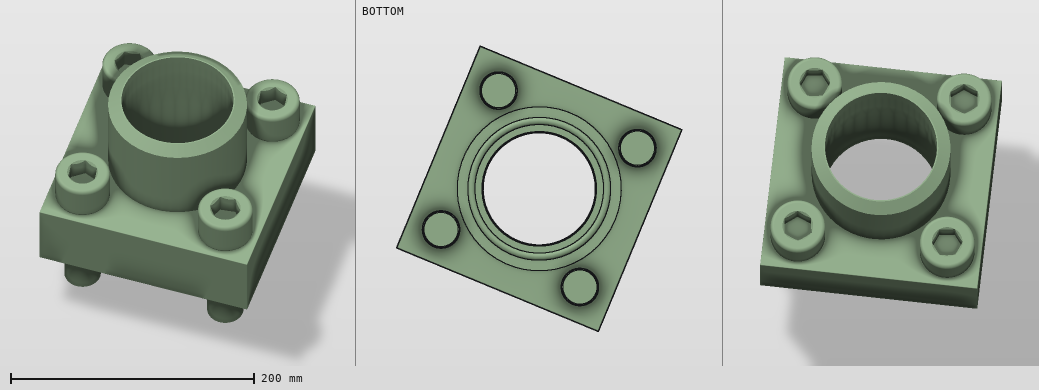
import cadquery as cq
import math

overall_width = 234.8
total_height = 175.0
assembly_turn = 22.5
plate_edge_radius = 0.5
plate_thickness = 57.8
raised_face_diameter = 135.0
raised_face_height = 1.9

pipe_diameter = 114.4
pipe_end_diameter = 94.5
bevel_slope = 30.0
bore_diameter = 92.3
bore_mouth_diameter = 94.5
bore_taper_start = 97.0
bore_taper_end = 17.0

ring_inner_diameter = 106.0
ring_outer_diameter = 117.7
ring_protrusion = 1.6

bolt_circle_diameter = 175.0
bolt_count = 4
first_bolt_angle = 45.0
bolt_hole_diameter = 31.0
shank_diameter = 30.0
shank_length = 99.8
shank_end_chamfer = 1.0
head_diameter = 45.0
head_height = 30.3
head_edge_radius = 3.0
socket_corner_diameter = 25.4
socket_depth = 16.5
socket_sides = 6

plate_top = raised_face_height + plate_thickness
pipe_top = total_height - shank_length + plate_top
bevel_height = (pipe_diameter - pipe_end_diameter) / 2 * math.tan(math.radians(bevel_slope))

turn_span = math.cos(math.radians(assembly_turn)) + math.sin(math.radians(assembly_turn))
plate_side = (overall_width + 2 * plate_edge_radius * (turn_span - 1)) / turn_span

ring_section_diameter = (ring_outer_diameter - ring_inner_diameter) / 2
ring_section_radius = ring_section_diameter / 2
ring_center_radius = (ring_outer_diameter + ring_inner_diameter) / 4
groove_depth = ring_section_diameter - ring_protrusion

socket_turn = -(assembly_turn + first_bolt_angle)


def bolt_place(index):
    """Location of one bolt on the plate top, turned to its angle around the bore axis."""
    angle = first_bolt_angle + index * 360.0 / bolt_count
    turn = cq.Location(cq.Vector(0, 0, 0), cq.Vector(0, 0, 1), angle)
    return turn * cq.Location(cq.Vector(bolt_circle_diameter / 2, 0, plate_top))


def make_plate():
    return (
        cq.Workplane("XY", origin=(0, 0, raised_face_height))
        .box(plate_side, plate_side, plate_thickness, centered=(True, True, False))
        .edges()
        .fillet(plate_edge_radius)
    )


def make_pipe():
    """Weld pipe and raised face as one turned shape, still without the bore."""
    return (
        cq.Workplane("XZ")
        .lineTo(raised_face_diameter / 2, 0)
        .lineTo(raised_face_diameter / 2, raised_face_height)
        .lineTo(pipe_diameter / 2, raised_face_height)
        .lineTo(pipe_diameter / 2, pipe_top - bevel_height)
        .lineTo(pipe_end_diameter / 2, pipe_top)
        .lineTo(0, pipe_top)
        .close()
        .revolve(360, (0, 0, 0), (0, 1, 0))
    )


def make_bore():
    """Straight bore that widens in a slight cone towards the sealing face."""
    return (
        cq.Workplane("XZ")
        .lineTo(0, pipe_top)
        .lineTo(bore_diameter / 2, pipe_top)
        .lineTo(bore_diameter / 2, bore_taper_start)
        .lineTo(bore_mouth_diameter / 2, bore_taper_end)
        .lineTo(bore_mouth_diameter / 2, 0)
        .close()
        .revolve(360, (0, 0, 0), (0, 1, 0))
    )


def make_ring_groove():
    return (
        cq.Workplane("XY")
        .circle(ring_outer_diameter / 2)
        .circle(ring_inner_diameter / 2)
        .extrude(groove_depth)
    )


def make_flange():
    flange = make_plate().union(make_pipe()).cut(make_bore()).cut(make_ring_groove())
    for index in range(bolt_count):
        hole = cq.Workplane("XY").circle(bolt_hole_diameter / 2).extrude(-plate_thickness)
        flange = flange.cut(cq.Workplane(hole.val().moved(bolt_place(index))))
    return flange


def make_ring():
    """Seal ring that rests on the groove floor and stands out of the sealing face."""
    ring_center_height = ring_section_radius - ring_protrusion
    return (
        cq.Workplane("XZ")
        .center(ring_center_radius, ring_center_height)
        .circle(ring_section_radius)
        .revolve(360, (-ring_center_radius, 0, 0), (-ring_center_radius, 1, 0))
    )


def make_socket():
    """Hexagonal socket with a conical lead-in that starts at the corner circle."""
    hexagon = (
        cq.Workplane("XY", origin=(0, 0, head_height))
        .polygon(socket_sides, socket_corner_diameter)
        .extrude(-socket_depth)
        .rotate((0, 0, 0), (0, 0, 1), socket_turn)
    )
    cone_radius = socket_corner_diameter / 2
    lead_in = cq.Workplane(
        cq.Solid.makeCone(
            cone_radius, 0, cone_radius, cq.Vector(0, 0, head_height), cq.Vector(0, 0, -1)
        )
    )
    return hexagon.union(lead_in)


def make_bolt(index):
    head = (
        cq.Workplane("XY")
        .circle(head_diameter / 2)
        .extrude(head_height)
        .edges()
        .fillet(head_edge_radius)
    )
    shank = (
        cq.Workplane("XY")
        .circle(shank_diameter / 2)
        .extrude(-shank_length)
        .faces("<Z")
        .chamfer(shank_end_chamfer)
    )
    bolt = head.union(shank).cut(make_socket())
    return bolt.val().moved(bolt_place(index))


flange = make_flange()
seal_ring = make_ring()
bolts = [make_bolt(index) for index in range(bolt_count)]

bodies = [flange.val(), seal_ring.val(), *bolts]
result = cq.Compound.makeCompound(
    [body.rotate(cq.Vector(0, 0, 0), cq.Vector(0, 0, 1), assembly_turn) for body in bodies]
)